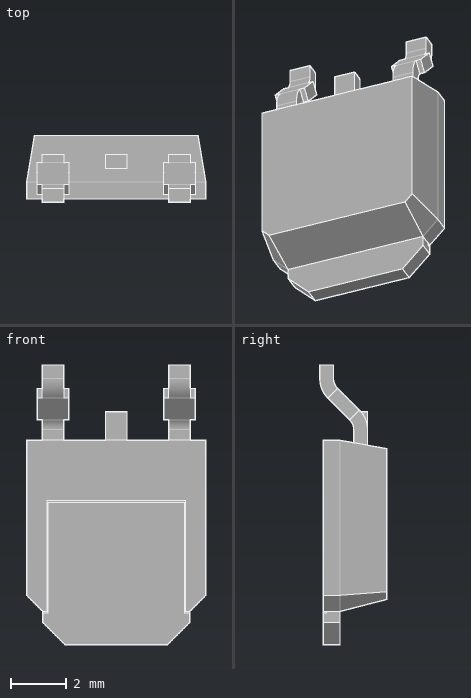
import cadquery as cq
import math

body_width = 6.5
body_bottom = 1.21
body_top = 7.41
body_corner = 0.59
slab_depth = 0.62
body_depth = 2.31
back_corner = 0.28
side_taper = 0.28
top_taper = 0.3
bottom_taper = 0.44

tab_half_width = body_width / 2 - body_corner
tab_shoulder = 1.16
tab_corner = 0.81

pad_half_width = 2.46
pad_top = 5.15
groove_half_width = 2.5
groove_top = 5.22
groove_depth = 0.12

lead_thickness = 0.51
lead_width = 0.79
lead_front = 1.11
lead_pitch = 2.29
lead_root = 6.59
middle_lead_top = 8.45
outer_lead_top = 10.14
wide_width = 1.16
foot_front = -0.12
foot_bend_top = 9.64
bend_inner_radius = 0.5
bend_angle = math.radians(45)


def cornered_outline(half_width, bottom, top, corner):
    """Rectangle in X and Z with both lower corners cut at 45 degrees."""
    return [
        (-half_width, top),
        (half_width, top),
        (half_width, bottom + corner),
        (half_width - corner, bottom),
        (corner - half_width, bottom),
        (-half_width, bottom + corner),
    ]


def block(x_min, x_max, y_min, y_max, z_min, z_max):
    size = (x_max - x_min, y_max - y_min, z_max - z_min)
    return cq.Workplane("XY").box(*size, centered=False).translate((x_min, y_min, z_min))


def make_body():
    front = cornered_outline(body_width / 2, body_bottom, body_top, body_corner)
    back = cornered_outline(
        body_width / 2 - side_taper, body_bottom + bottom_taper, body_top - top_taper, back_corner
    )
    slab = cq.Workplane("XZ").polyline(front).close().extrude(-slab_depth)
    tapered = (
        cq.Workplane("XZ", origin=(0, slab_depth, 0))
        .polyline(front).close()
        .workplane(offset=slab_depth - body_depth)
        .polyline(back).close()
        .loft(ruled=True)
    )
    return slab.union(tapered)


def make_tab():
    outline = cornered_outline(tab_half_width, 0, body_bottom, tab_corner)
    return cq.Workplane("XZ").polyline(outline).close().extrude(-slab_depth)


def make_groove():
    """Frame above and beside the pad, with feet running out over the tab shoulders."""
    frame = block(-groove_half_width, groove_half_width, 0, groove_depth, tab_shoulder, groove_top)
    feet = block(-tab_half_width, tab_half_width, 0, groove_depth, tab_shoulder, body_bottom)
    pad = block(-pad_half_width, pad_half_width, 0, groove_depth, tab_shoulder, pad_top)
    return frame.union(feet).cut(pad)


def side_plate(outline, width, x):
    """Extrude a closed Y-Z outline to a width centred at x."""
    return outline.close().extrude(width / 2, both=True).translate((x, 0, 0))


def make_outer_lead(x):
    """Lead with two opposite bends joined by a wider sloping bar."""
    outer_radius = bend_inner_radius + lead_thickness
    root_y = lead_front + lead_thickness / 2
    foot_y = foot_front + lead_thickness / 2
    mean_radius = bend_inner_radius + lead_thickness / 2
    bend_shift = mean_radius * (1 - math.cos(bend_angle))
    bend_rise = mean_radius * math.sin(bend_angle)
    slope_rise = (root_y - foot_y - 2 * bend_shift) / math.tan(bend_angle)
    root_bend_z = foot_bend_top - 2 * bend_rise - slope_rise
    root_center = (lead_front - bend_inner_radius, root_bend_z)
    foot_center = (foot_front + outer_radius, foot_bend_top)

    def root_point(radius, angle):
        return (root_center[0] + radius * math.cos(angle), root_center[1] + radius * math.sin(angle))

    def foot_point(radius, angle):
        return (foot_center[0] - radius * math.cos(angle), foot_center[1] - radius * math.sin(angle))

    half_angle = bend_angle / 2
    root = (
        cq.Workplane("YZ").moveTo(lead_front, lead_root)
        .lineTo(*root_point(bend_inner_radius, 0))
        .threePointArc(root_point(bend_inner_radius, half_angle), root_point(bend_inner_radius, bend_angle))
        .lineTo(*root_point(outer_radius, bend_angle))
        .threePointArc(root_point(outer_radius, half_angle), root_point(outer_radius, 0))
        .lineTo(lead_front + lead_thickness, lead_root)
    )
    slope = cq.Workplane("YZ").polyline([
        root_point(bend_inner_radius, bend_angle),
        root_point(outer_radius, bend_angle),
        foot_point(bend_inner_radius, bend_angle),
        foot_point(outer_radius, bend_angle),
    ])
    foot = (
        cq.Workplane("YZ").moveTo(foot_front, outer_lead_top)
        .lineTo(*foot_point(outer_radius, 0))
        .threePointArc(foot_point(outer_radius, half_angle), foot_point(outer_radius, bend_angle))
        .lineTo(*foot_point(bend_inner_radius, bend_angle))
        .threePointArc(foot_point(bend_inner_radius, half_angle), foot_point(bend_inner_radius, 0))
        .lineTo(foot_front + lead_thickness, outer_lead_top)
    )
    lead = side_plate(root, lead_width, x)
    lead = lead.union(side_plate(slope, wide_width, x))
    return lead.union(side_plate(foot, lead_width, x))


def make_middle_lead():
    """Straight cropped lead."""
    half_width = lead_width / 2
    lead_back = lead_front + lead_thickness
    return block(-half_width, half_width, lead_front, lead_back, lead_root, middle_lead_top)


result = make_body().union(make_tab()).cut(make_groove()).union(make_middle_lead())
for lead_x in (-lead_pitch, lead_pitch):
    result = result.union(make_outer_lead(lead_x))